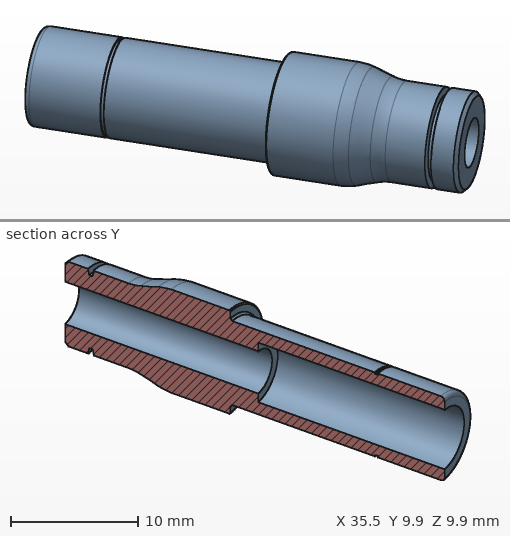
import cadquery as cq

length = 35.5
tube_radius = 4.0
sleeve_radius = 4.05
collar_radius = 4.95
entry_bore_radius = 2.8
entry_bore_depth = 17.43
through_bore_radius = 2.0

flare_start = 19.85
collar_start = 20.02
collar_end = 25.55
shoulder_arc_end = 26.75
neck_arc_start = 28.4
neck_start = 29.57

entry_fillet = 0.4
flare_height = 0.18
collar_chamfer_length = 0.1
collar_chamfer_depth = 0.1
end_chamfer_length = 0.32
end_chamfer_depth = 0.32

mark_start = 6.25
mark_width = 0.3
mark_depth = 0.15
release_groove_start = 32.85
release_groove_width = 0.5
release_groove_floor_width = 0.3
release_groove_depth = 0.57


def make_body():
    """Revolve the stem, collar, S-shaped shoulder and end sleeve."""
    shoulder_run = shoulder_arc_end - collar_end
    cone_run = neck_arc_start - shoulder_arc_end
    neck_run = neck_start - neck_arc_start
    slope = (collar_radius - sleeve_radius) / (shoulder_run / 2 + cone_run + neck_run / 2)
    cone_start_radius = collar_radius - slope * shoulder_run / 2
    cone_end_radius = cone_start_radius - slope * cone_run

    profile = (
        cq.Workplane("XY")
        .moveTo(0, 0)
        .lineTo(0, tube_radius)
        .lineTo(flare_start, tube_radius)
        .lineTo(collar_start, tube_radius + flare_height)
        .lineTo(collar_start, collar_radius - collar_chamfer_depth)
        .lineTo(collar_start + collar_chamfer_length, collar_radius)
        .lineTo(collar_end, collar_radius)
        .tangentArcPoint((shoulder_arc_end, cone_start_radius), relative=False)
        .lineTo(neck_arc_start, cone_end_radius)
        .tangentArcPoint((neck_start, sleeve_radius), relative=False)
        .lineTo(length - end_chamfer_length, sleeve_radius)
        .lineTo(length, sleeve_radius - end_chamfer_depth)
        .lineTo(length, 0)
        .close()
    )
    body = profile.revolve(360, (0, 0, 0), (1, 0, 0))
    return body.faces("<X").edges().fillet(entry_fillet)


def make_ring(start, width, floor_width, outer_radius, depth):
    """Ring that cuts a groove with symmetric straight or sloping walls into a cylinder."""
    wall_run = (width - floor_width) / 2
    floor_radius = outer_radius - depth
    return (
        cq.Workplane("XY")
        .moveTo(start, collar_radius)
        .lineTo(start, outer_radius)
        .lineTo(start + wall_run, floor_radius)
        .lineTo(start + wall_run + floor_width, floor_radius)
        .lineTo(start + width, outer_radius)
        .lineTo(start + width, collar_radius)
        .close()
        .revolve(360, (0, 0, 0), (1, 0, 0))
    )


def make_bore(radius, depth):
    """Round bore from the entry end."""
    return cq.Workplane("YZ").circle(radius).extrude(depth)


mark_groove = make_ring(mark_start, mark_width, mark_width, tube_radius, mark_depth)
release_groove = make_ring(
    release_groove_start,
    release_groove_width,
    release_groove_floor_width,
    sleeve_radius,
    release_groove_depth,
)

result = (
    make_body()
    .cut(mark_groove)
    .cut(release_groove)
    .cut(make_bore(entry_bore_radius, entry_bore_depth))
    .cut(make_bore(through_bore_radius, length))
)